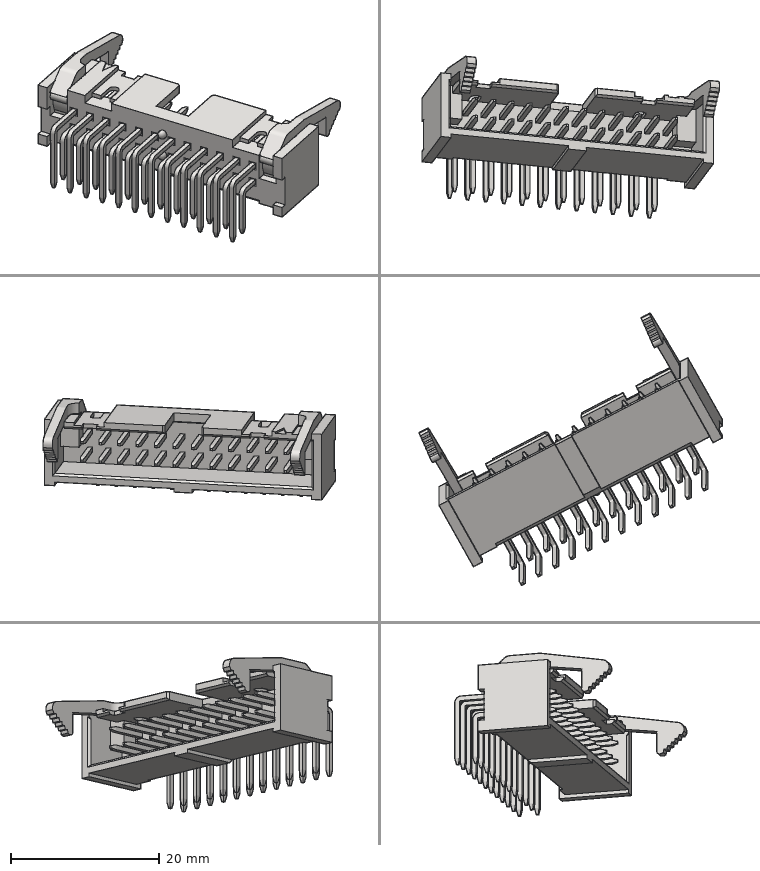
import cadquery as cq


length = 38.1
body_top = 9.22
body_bottom = 0.5
body_depth = 8.95
mid_height = (body_top + body_bottom) / 2
end_plate_width = 1.4
end_plate_overhang = 0.85
end_notch_bottom = 1.52
end_notch_top = 5.83

slot_inner_x = 14.97
slot_outer_x = length / 2 - end_plate_width
slot_floor = 4.42
arm_width = 1.3
arm_inner_x = slot_outer_x - arm_width
bridge_back = 3.65
bridge_top = 9.0

cavity_half_width = slot_outer_x
cavity_ceiling = 8.05
cavity_floor = 2 * mid_height - cavity_ceiling
cavity_back = 2.8
mouth_chamfer = 0.3

rear_chamfer = 0.5
key_width = 2.5

window_width = 5.05
window_back = 2.45
recess_width = 4.15
recess_centers = (-10.15, slot_inner_x - recess_width / 2)
recess_floor = 8.6
recess_step_y = 1.95
recess_notch_width = 2.0
recess_notch_depth = 1.05
keyhole_width = 1.45
keyhole_end_y = 4.88
mark_x = -13.45
mark_width = 1.45
mark_length = 2.1
mark_depth = 0.23

pin_count = 12
pin_row_span = 27.93
pin_pitch = pin_row_span / (pin_count - 1)
pin_size = 0.65
row_pitch = 2.55
row_heights = (mid_height + row_pitch / 2, mid_height - row_pitch / 2)
row_rear_ends = (-5.65, -3.1)
pin_front = 8.57
pin_bottom = -3.0
bend_outer_radius = 0.9
tip_length = 0.8
tip_size = 0.3
pin_hole_size = 1.1
pin_hole_depth = 0.23

bump_radius = 0.6
bump_y = -0.23
bump_heights = (6.9, 3.62)

latch_inner_x = 15.05
latch_top = 10.6
latch_nose_y = -0.1
nose_bottom = 8.1
bead_y = 0.0
bead_radius = 0.72
heel_bottom_y = 1.1
heel_bulge = 0.1
heel_bottom = 4.8
latch_front_y = 4.95
crown_rear_y = 2.75
crown_front_y = 7.45
crown_radius = 1.22
arm_root = (latch_front_y, 9.15)
arm_corner = (13.35, 7.92)
hook_bottom = 4.75
hook_front_y = 14.0
tip_y = 17.2
tip_top = 8.8
tip_radius = 1.03
tooth_count = 5
tooth_start = (16.9, 7.2)
tooth_run = 0.55
tooth_rise = 0.45
tooth_lean = 0.1
hook_radius = 0.4
arm_root_radius = 1.25


def block(x_range, y_range, z_range):
    """Axis-aligned box given by its limits."""
    size = [high - low for low, high in (x_range, y_range, z_range)]
    corner = (x_range[0], y_range[0], z_range[0])
    return cq.Workplane("XY").box(*size, centered=False).translate(corner)


def around(center, width):
    """Limits of a span with the given middle."""
    return (center - width / 2, center + width / 2)


def taper(center, axis, start_size, end_size, depth):
    """Square frustum that starts at center and grows along axis."""
    plane = cq.Plane(origin=center, xDir=(1, 0, 0), normal=axis)
    start = cq.Workplane(plane).rect(start_size, start_size)
    return start.workplane(offset=depth).rect(end_size, end_size).loft(ruled=True)


def make_shell():
    """Outer block with end plates, latch slots, chamfered underside and key."""
    half = length / 2
    body = block((-half, half), (0, body_depth), (body_bottom, body_top))
    chamfer_outline = [
        (0, body_bottom),
        (rear_chamfer, body_bottom),
        (0, body_bottom + rear_chamfer),
    ]
    chamfer_cut = (
        cq.Workplane("YZ").polyline(chamfer_outline).close().extrude(slot_inner_x, both=True)
    )
    body = body.cut(chamfer_cut)

    key_outline = [
        (rear_chamfer, body_bottom),
        (rear_chamfer + body_bottom, 0),
        (body_depth, 0),
        (body_depth, body_bottom),
    ]
    key = cq.Workplane("YZ").polyline(key_outline).close().extrude(key_width / 2, both=True)
    body = body.union(key)

    for side in (-1, 1):
        bridge_x = sorted((side * slot_inner_x, side * arm_inner_x))
        slot_x = sorted((side * slot_inner_x, side * slot_outer_x))
        arm_x = sorted((side * arm_inner_x, side * slot_outer_x))
        body = body.cut(block(slot_x, (0, bridge_back), (slot_floor, body_top)))
        body = body.cut(block(arm_x, (0, body_depth), (slot_floor, body_top)))
        body = body.cut(block(bridge_x, (0, body_depth), (bridge_top, body_top)))
        plate_x = sorted((side * slot_outer_x, side * half))
        plate = block(plate_x, (-end_plate_overhang, body_depth), (0, body_top))
        notch = block(plate_x, (-end_plate_overhang, 0), (end_notch_bottom, end_notch_top))
        body = body.union(plate.cut(notch))
    return body


def make_cavity():
    """Mating cavity with its top window, both flared at the mouth."""
    cavity = block(
        (-cavity_half_width, cavity_half_width),
        (cavity_back, body_depth),
        (cavity_floor, cavity_ceiling),
    )
    window = block(
        around(0, window_width), (window_back, body_depth), (cavity_ceiling, body_top)
    )
    flare_outline = [
        (window_width / 2, body_depth - mouth_chamfer),
        (window_width / 2 + mouth_chamfer, body_depth),
        (-window_width / 2 - mouth_chamfer, body_depth),
        (-window_width / 2, body_depth - mouth_chamfer),
    ]
    window_flare = (
        cq.Workplane("XY", origin=(0, 0, cavity_ceiling))
        .polyline(flare_outline)
        .close()
        .extrude(body_top - cavity_ceiling)
    )
    cavity_width = 2 * cavity_half_width
    cavity_height = cavity_ceiling - cavity_floor
    flare_front = cq.Plane(origin=(0, body_depth, mid_height), xDir=(1, 0, 0), normal=(0, -1, 0))
    mouth_flare = (
        cq.Workplane(flare_front)
        .rect(cavity_width + 2 * mouth_chamfer, cavity_height + 2 * mouth_chamfer)
        .workplane(offset=mouth_chamfer)
        .rect(cavity_width, cavity_height)
        .loft(ruled=True)
    )
    return cavity.union(window).union(window_flare).union(mouth_flare)


def make_recess(center_x):
    """Stepped recess in the top wall with a keyhole slot and a front notch."""
    full_width = around(center_x, recess_width)
    recess = block(full_width, (0, body_depth), (recess_floor, body_top))
    step = block(full_width, (0, recess_step_y), (cavity_ceiling, recess_floor))
    radius = keyhole_width / 2
    keyhole_center_y = keyhole_end_y - radius
    keyhole = block(
        around(center_x, keyhole_width),
        (recess_step_y, keyhole_center_y),
        (cavity_ceiling, recess_floor),
    )
    keyhole_end = (
        cq.Workplane("XY", origin=(center_x, keyhole_center_y, cavity_ceiling))
        .circle(radius)
        .extrude(recess_floor - cavity_ceiling)
    )
    notch = block(
        around(center_x, recess_notch_width),
        (body_depth - recess_notch_depth, body_depth),
        (cavity_ceiling, recess_floor),
    )
    return recess.union(step).union(keyhole).union(keyhole_end).union(notch)


def make_pin_one_mark():
    """Shallow V groove outline that points back from the mating face."""
    outline = [
        (mark_x - mark_width / 2, body_depth),
        (mark_x, body_depth - mark_length),
        (mark_x + mark_width / 2, body_depth),
    ]
    return (
        cq.Workplane("XY", origin=(0, 0, body_top - mark_depth))
        .polyline(outline)
        .close()
        .extrude(mark_depth)
    )


def make_pin(z, rear_y):
    """Square bent pin at X = 0 with tapered tips at both ends."""
    half = pin_size / 2
    inner_radius = bend_outer_radius - pin_size
    shank_front = pin_front - tip_length
    shank_bottom = pin_bottom + tip_length
    outline = [
        (shank_front, z + half),
        (rear_y, z + half),
        (rear_y, shank_bottom),
        (rear_y + pin_size, shank_bottom),
        (rear_y + pin_size, z - half),
        (shank_front, z - half),
    ]
    pin = cq.Workplane("YZ").polyline(outline).close().extrude(half, both=True)
    outer_bend = cq.selectors.NearestToPointSelector((0, rear_y, z + half))
    pin = pin.edges(outer_bend).fillet(bend_outer_radius)
    inner_bend = cq.selectors.NearestToPointSelector((0, rear_y + pin_size, z - half))
    pin = pin.edges(inner_bend).fillet(inner_radius)
    front_tip = taper((0, shank_front, z), (0, 1, 0), pin_size, tip_size, tip_length)
    leg_center = (0, rear_y + half, shank_bottom)
    leg_tip = taper(leg_center, (0, 0, -1), pin_size, tip_size, tip_length)
    return pin.union(front_tip).union(leg_tip)


def repeat_along_row(piece, columns):
    """Copies of a piece at every pin column, gathered into one compound."""
    copies = [piece.val().translate(cq.Vector(x, 0, 0)) for x in columns]
    return cq.Workplane(cq.Compound.makeCompound(copies))


def make_latch():
    """Ejector latch on the +X side: pivot body, arm and toothed hook."""
    heel_top_y = bead_y + bead_radius
    heel_top = nose_bottom - 2 * bead_radius
    profile = (
        cq.Workplane("YZ", origin=(latch_inner_x, 0, 0))
        .moveTo(crown_rear_y, latch_top)
        .lineTo(latch_nose_y, nose_bottom)
        .lineTo(heel_top_y, nose_bottom)
        .threePointArc((bead_y, nose_bottom - bead_radius), (heel_top_y, heel_top))
        .threePointArc(
            ((heel_top_y + heel_bottom_y) / 2 - heel_bulge, (heel_top + heel_bottom) / 2),
            (heel_bottom_y, heel_bottom),
        )
        .lineTo(heel_bottom_y, slot_floor)
        .lineTo(latch_front_y, slot_floor)
        .lineTo(*arm_root)
        .lineTo(*arm_corner)
        .lineTo(arm_corner[0], hook_bottom)
        .lineTo(hook_front_y, hook_bottom)
    )
    for tooth in range(tooth_count, 0, -1):
        crest_y = tooth_start[0] - tooth * tooth_run
        crest_z = tooth_start[1] - tooth * tooth_rise
        profile = profile.lineTo(crest_y, crest_z).lineTo(crest_y + tooth_lean, crest_z + tooth_rise)
    profile = (
        profile.lineTo(*tooth_start)
        .lineTo(tip_y, tooth_start[1] + tooth_rise)
        .lineTo(tip_y, tip_top)
        .lineTo(crown_front_y, latch_top)
        .close()
    )
    latch = profile.extrude(slot_outer_x - latch_inner_x)
    rounded_corners = (
        (crown_rear_y, latch_top, crown_radius),
        (tip_y, tip_top, tip_radius),
        (arm_corner[0], hook_bottom, hook_radius),
        (hook_front_y, hook_bottom, hook_radius),
    )
    middle_x = (latch_inner_x + slot_outer_x) / 2
    for y, z, radius in rounded_corners:
        corner = cq.selectors.NearestToPointSelector((middle_x, y, z))
        latch = latch.edges(corner).fillet(radius)

    relief = block(
        (arm_inner_x - 2 * arm_root_radius, arm_inner_x), (latch_front_y, tip_y), (0, latch_top)
    )
    relief_corner = cq.selectors.NearestToPointSelector((arm_inner_x, latch_front_y, mid_height))
    return latch.cut(relief.edges(relief_corner).fillet(arm_root_radius))


def make_bump(z):
    """Ball partly sunk in the rear face."""
    return cq.Workplane("XY", origin=(0, bump_y, z)).sphere(bump_radius)


housing = make_shell().cut(make_cavity()).cut(make_pin_one_mark())
for center_x in recess_centers:
    housing = housing.cut(make_recess(center_x))

latch = make_latch()
housing = housing.union(latch).union(latch.mirror("YZ"))
for z in bump_heights:
    housing = housing.union(make_bump(z))

pin_columns = [(i - (pin_count - 1) / 2) * pin_pitch for i in range(pin_count)]
result = housing
for z, rear_y in zip(row_heights, row_rear_ends):
    hole = taper((0, 0, z), (0, 1, 0), pin_hole_size, pin_size, pin_hole_depth)
    result = result.cut(repeat_along_row(hole, pin_columns))
    result = result.union(repeat_along_row(make_pin(z, rear_y), pin_columns))